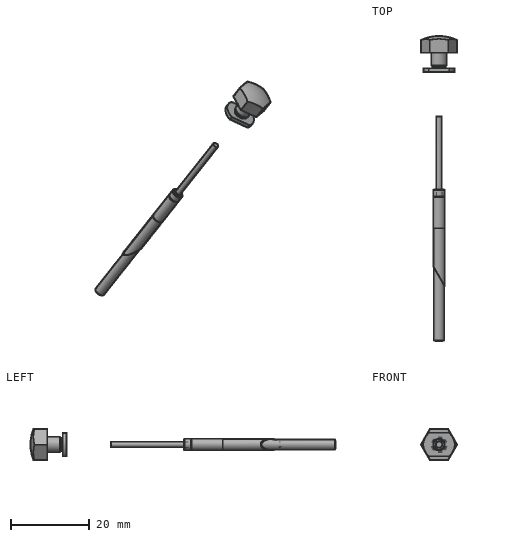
import cadquery as cq
import math


HEAD_ACROSS_FLATS = 8.0
HEAD_ACROSS_CORNERS = HEAD_ACROSS_FLATS / math.cos(math.radians(30))
HEAD_HEIGHT = 4.4
HEAD_CORNER_HEIGHT = 3.3
SHANK_DIAMETER = 4.0
SHANK_LENGTH = 3.2
NECK_TAPER_LENGTH = 0.2
NECK_WAIST_LENGTH = 0.25
NECK_FLARE_LENGTH = 0.25
NECK_LENGTH = NECK_TAPER_LENGTH + NECK_WAIST_LENGTH + NECK_FLARE_LENGTH
NECK_WAIST_DIAMETER = 3.2
NECK_END_DIAMETER = 3.7
FLANGE_DIAMETER = 8.0
FLANGE_ACROSS_FLATS = 6.0
FLANGE_THICKNESS = 1.0
SCREW_LENGTH = SHANK_LENGTH + NECK_LENGTH + FLANGE_THICKNESS

TOTAL_LENGTH = 78.1
PROBE_LENGTH = 57.5
PIN_EXPOSED_LENGTH = 18.6
COLLAR_LENGTH = 2.0
SLEEVE_LENGTH = 8.0
TUBE_LONG_SIDE = 14.9
TUBE_DIAMETER = 3.0
PIN_DIAMETER = 1.5
ROD_DIAMETER = 2.7
COLLAR_CHAMFER = 0.3
BAND_CHAMFER = 0.1
TUBE_SLANT_ANGLE = 60.0
ROD_TIP_DIAMETER = 1.6
ROD_TIP_DEPTH = 0.2

PROBE_BOTTOM = HEAD_HEIGHT - TOTAL_LENGTH
PIN_TOP = PROBE_BOTTOM + PROBE_LENGTH
COLLAR_TOP = PIN_TOP - PIN_EXPOSED_LENGTH
SLEEVE_TOP = COLLAR_TOP - COLLAR_LENGTH
TUBE_TOP = SLEEVE_TOP - SLEEVE_LENGTH
TUBE_BOTTOM = TUBE_TOP - TUBE_LONG_SIDE


def cylinder(diameter, top, length):
    """Solid cylinder about the Y axis, running from y = top toward -Y."""
    return cq.Workplane("XZ", origin=(0, top, 0)).circle(diameter / 2).extrude(length)


def turned(points):
    """Solid of revolution about the Y axis from (radius, y) points."""
    return cq.Workplane("XY").polyline(points).close().revolve(360, (0, 0), (0, 1))


def make_head():
    """Hexagon with corners on the X axis, topped by a shallow spherical dome."""
    hexagon = (
        cq.Workplane("XZ", origin=(0, HEAD_HEIGHT, 0))
        .polygon(6, HEAD_ACROSS_CORNERS)
        .extrude(HEAD_HEIGHT)
    )
    corner_radius = HEAD_ACROSS_CORNERS / 2
    dome_rise = HEAD_HEIGHT - HEAD_CORNER_HEIGHT
    dome_radius = (corner_radius**2 + dome_rise**2) / (2 * dome_rise)
    dome = cq.Workplane("XY", origin=(0, HEAD_HEIGHT - dome_radius, 0)).sphere(dome_radius)
    return hexagon.intersect(dome)


def make_flange():
    """Round disc with two flats facing +Z and -Z."""
    disc = cylinder(FLANGE_DIAMETER, FLANGE_THICKNESS - SCREW_LENGTH, FLANGE_THICKNESS)
    flats = cq.Workplane("XY", origin=(0, -SCREW_LENGTH, 0)).box(
        FLANGE_DIAMETER, 2 * FLANGE_THICKNESS, FLANGE_ACROSS_FLATS
    )
    return disc.intersect(flats)


def make_screw():
    """Head, shank, waisted neck and flange in one piece."""
    neck_top = -SHANK_LENGTH
    neck_end = neck_top - NECK_LENGTH
    waist_radius = NECK_WAIST_DIAMETER / 2
    shank = cylinder(SHANK_DIAMETER, 0, SHANK_LENGTH)
    neck = turned([
        (0, neck_top),
        (SHANK_DIAMETER / 2, neck_top),
        (waist_radius, neck_top - NECK_TAPER_LENGTH),
        (waist_radius, neck_end + NECK_FLARE_LENGTH),
        (NECK_END_DIAMETER / 2, neck_end),
        (0, neck_end),
    ])
    return make_head().union(shank).union(neck).union(make_flange())


def make_pin():
    """Thin pin standing in the bore of the collar."""
    return cylinder(PIN_DIAMETER, PIN_TOP, PIN_EXPOSED_LENGTH + COLLAR_LENGTH)


def make_collar():
    """Collar bored for the pin; its lower chamfer forms half of the groove above the sleeve."""
    collar = cylinder(TUBE_DIAMETER, COLLAR_TOP, COLLAR_LENGTH)
    collar = collar.faces(">Y").chamfer(COLLAR_CHAMFER)
    collar = collar.faces("<Y").chamfer(BAND_CHAMFER)
    return collar.cut(make_pin())


def make_sleeve():
    """Solid sleeve between collar and tube; its upper chamfer completes the groove."""
    sleeve = cylinder(TUBE_DIAMETER, SLEEVE_TOP, SLEEVE_LENGTH)
    return sleeve.faces(">Y").chamfer(BAND_CHAMFER)


def make_rod():
    """Rod with a shallow conical tip, running up to the sleeve."""
    radius = ROD_DIAMETER / 2
    return turned([
        (0, TUBE_TOP),
        (radius, TUBE_TOP),
        (radius, PROBE_BOTTOM + ROD_TIP_DEPTH),
        (ROD_TIP_DIAMETER / 2, PROBE_BOTTOM),
        (0, PROBE_BOTTOM),
    ])


def make_tube():
    """Tube around the rod; its lower end is cut on a slant, longest at +X."""
    half_width = TUBE_DIAMETER / 2
    slant_rise = TUBE_DIAMETER * math.tan(math.radians(TUBE_SLANT_ANGLE))
    tube = (
        cq.Workplane("XY")
        .polyline([
            (-half_width, TUBE_TOP),
            (half_width, TUBE_TOP),
            (half_width, TUBE_BOTTOM),
            (-half_width, TUBE_BOTTOM + slant_rise),
        ])
        .close()
        .extrude(half_width, both=True)
        .intersect(cylinder(TUBE_DIAMETER, TUBE_TOP, TUBE_LONG_SIDE))
    )
    return tube.cut(make_rod())


screw = make_screw()
pin = make_pin()
collar = make_collar()
sleeve = make_sleeve()
tube = make_tube()
rod = make_rod()

result = cq.Compound.makeCompound([
    screw.val(),
    pin.val(),
    collar.val(),
    sleeve.val(),
    tube.val(),
    rod.val(),
])